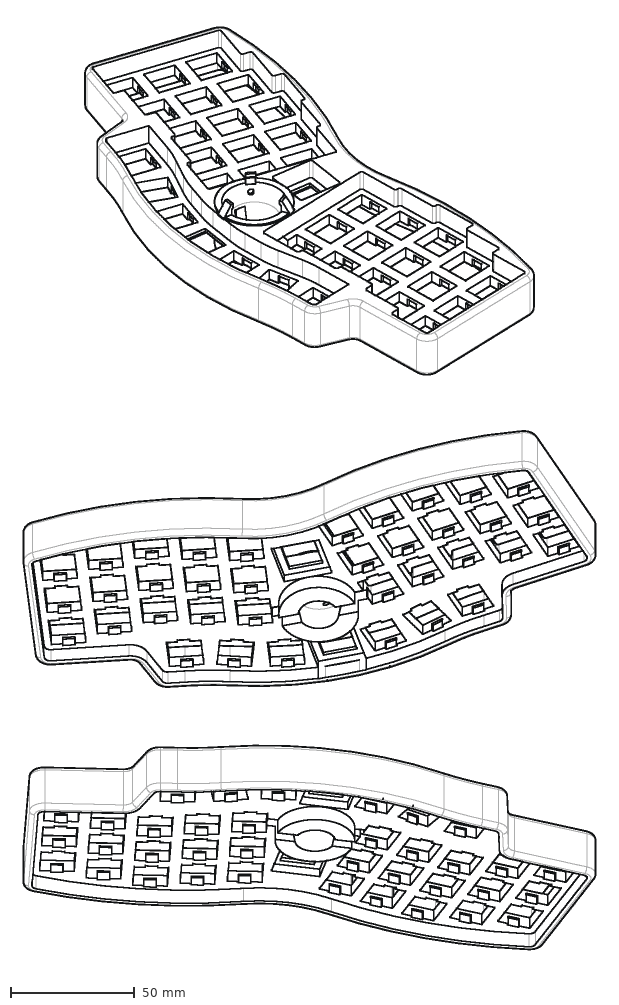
import cadquery as cq
import math

DEPTH = 105.81
TOTAL_HEIGHT = 25.52
BODY_HEIGHT = 19.82
EDGE_ROUND = 2.0
OVERCUT = 1.0

KEY_PITCH = 19.05
SWITCH_HOLE = 14.0
KEY_WELL = 20.0
FINGER_TILT = 10.0
INNER_COLUMN_U = 24.31
INNER_COLUMN_V = 4.0
COLUMN_STAGGER = [0, KEY_PITCH / 8, KEY_PITCH / 4, 0, -KEY_PITCH / 4]
FINGER_ROWS = (-1, 0, 1)
THUMB_MIDDLE_Y = -39.2
THUMB_KEYS = [(20.35, -37.6, 10.0), (40.07, -32.35, 20.0), (59.8, -27.03, 10.0)]
CENTRE_KEY_Y = 13.4
WELL_CORNER_ROUND = 1.0
THUMB_WALL_ROUND = 50.0

PLATE_TOP = 11.2
PLATE_THICKNESS = 5.0
PLATE_BOTTOM = PLATE_TOP - PLATE_THICKNESS
CLIP_LEDGE = 1.5
THIN_PLATE_THICKNESS = 1.5
CLIP_WIDTH = 5.0
CLIP_DEPTH = 1.0

WALL = 3.515
CORNER_ROUND = 6.0
WAIST_ROUND = 4.0
WAIST_TILT = 14.0
THUMB_CORNER = (73.8, -38.55)
THUMB_EDGE_START_X = 63.2
THUMB_EDGE_TILT = 20.0
FRONT_ARC_X = 46.2
BACK_CREST_X = 78.0
BACK_CREST_RADIUS = 180.0
BACK_SADDLE_Y = 39.3

SOCKET_Y = -12.7
COLLAR_RADIUS = 16.1
COLLAR_TOP = 20.5
BOWL_RIM_RADIUS = 13.1
BOWL_RING_RADIUS = 10.3
BOWL_RING_Z = 12.8
FUNNEL_END_RADIUS = 8.1
SENSOR_SLOT_LENGTH = 40.0
SENSOR_SLOT_WIDTH = 5.0
CLAW_ANGLES = (-90, 30, 150)
CLAW_WIDTH = 4.0
CLAW_BASE_RADIUS = 16.9
CLAW_TIP_RADIUS = 13.1
CLAW_INNER_RADIUS = 12.7
CLAW_TOOTH_RADIUS = 12.0
CLAW_TOOTH_START_Z = 23.0
CLAW_TOOTH_FULL_Z = 24.0
BEARING_DIAMETER = 2.4
BEARING_DEPTH = 2.0
BEARING_Z = 16.7


def tilted(u, v, angle=FINGER_TILT):
    """Point (u, v) of a frame turned about the origin, as x and y."""
    a = math.radians(angle)
    return (u * math.cos(a) - v * math.sin(a), u * math.sin(a) + v * math.cos(a))


def both_sides(solid):
    """A right-hand shape together with its mirror image on the left."""
    return solid.union(solid.mirror("YZ"))


def finger_keys():
    """Centres and tilts of the right-hand finger keys, one list per column."""
    columns = []
    for index, stagger in enumerate(COLUMN_STAGGER):
        u = INNER_COLUMN_U + index * KEY_PITCH
        v = INNER_COLUMN_V + stagger
        columns.append([(*tilted(u, v + row * KEY_PITCH), FINGER_TILT) for row in FINGER_ROWS])
    return columns


def block(key, width, length, bottom, top):
    """Upright block centred on a key and turned with it."""
    x, y, tilt = key
    flat = cq.Workplane("XY", origin=(0, 0, bottom)).rect(width, length).extrude(top - bottom)
    return flat.rotate((0, 0, 0), (0, 0, 1), tilt).translate((x, y, 0))


def line_crossing(point_a, angle_a, point_b, angle_b):
    """Crossing of two lines, each given by a point and a direction in degrees."""
    ax, ay = math.cos(math.radians(angle_a)), math.sin(math.radians(angle_a))
    bx, by = math.cos(math.radians(angle_b)), math.sin(math.radians(angle_b))
    dx, dy = point_b[0] - point_a[0], point_b[1] - point_a[1]
    t = (dx * by - dy * bx) / (ax * by - ay * bx)
    return (point_a[0] + t * ax, point_a[1] + t * ay)


last_column = len(COLUMN_STAGGER) - 1
side_u = INNER_COLUMN_U + last_column * KEY_PITCH + KEY_WELL / 2 + WALL
front_v = INNER_COLUMN_V + COLUMN_STAGGER[-1] - KEY_PITCH - KEY_WELL / 2 - WALL
side_front = tilted(side_u, front_v)
waist = line_crossing(side_front, FINGER_TILT, THUMB_CORNER, 90 - WAIST_TILT)
thumb_edge_start = (
    THUMB_EDGE_START_X,
    THUMB_CORNER[1] - (THUMB_CORNER[0] - THUMB_EDGE_START_X) * math.tan(math.radians(FINGER_TILT)),
)
front_arc_end = (
    FRONT_ARC_X,
    -DEPTH / 2 + FRONT_ARC_X * math.tan(math.radians(THUMB_EDGE_TILT / 2)),
)
crest_y = DEPTH / 2
crest_centre_y = crest_y - BACK_CREST_RADIUS
crest_rise = crest_y - BACK_SADDLE_Y
arc_centre_distance = (BACK_CREST_X**2 + crest_rise**2) / (2 * crest_rise)
saddle_radius = arc_centre_distance - BACK_CREST_RADIUS
saddle_share = saddle_radius / arc_centre_distance
saddle_end = (
    BACK_CREST_X * saddle_share,
    BACK_SADDLE_Y + saddle_radius + (crest_centre_y - BACK_SADDLE_Y - saddle_radius) * saddle_share,
)
crest_centre_u, crest_centre_v = tilted(BACK_CREST_X, crest_centre_y, -FINGER_TILT)
side_back_v = crest_centre_v + math.sqrt(BACK_CREST_RADIUS**2 - (side_u - crest_centre_u) ** 2)
side_back = tilted(side_u, side_back_v)


def mirrored(point):
    """The same point on the left half."""
    return (-point[0], point[1])


def outline_prism(height):
    """The case outline, with its rounded upright corners, as a prism on the base plane."""
    prism = (
        cq.Workplane("XY")
        .moveTo(*saddle_end)
        .threePointArc((BACK_CREST_X, crest_y), side_back)
        .lineTo(*side_front)
        .lineTo(*waist)
        .lineTo(*THUMB_CORNER)
        .lineTo(*thumb_edge_start)
        .tangentArcPoint(front_arc_end, relative=False)
        .threePointArc((0, -DEPTH / 2), mirrored(front_arc_end))
        .tangentArcPoint(mirrored(thumb_edge_start), relative=False)
        .lineTo(*mirrored(THUMB_CORNER))
        .lineTo(*mirrored(waist))
        .lineTo(*mirrored(side_front))
        .lineTo(*mirrored(side_back))
        .threePointArc((-BACK_CREST_X, crest_y), mirrored(saddle_end))
        .threePointArc((0, BACK_SADDLE_Y), saddle_end)
        .close()
        .extrude(height)
    )
    for corner, radius in (
        (side_back, CORNER_ROUND),
        (side_front, CORNER_ROUND),
        (waist, WAIST_ROUND),
        (THUMB_CORNER, CORNER_ROUND),
    ):
        for x, y in (corner, mirrored(corner)):
            prism = prism.edges(cq.NearestToPointSelector((x, y, height / 2))).fillet(radius)
    return prism


def inner_prism(height):
    """Prism of the outline moved inwards by the wall thickness."""
    outer_wire = outline_prism(height).faces("<Z").wires().val()
    return cq.Workplane("XY").add(outer_wire.offset2D(-WALL)).toPending().extrude(height)


def case_body():
    return outline_prism(BODY_HEIGHT).faces("<Z or >Z").edges().fillet(EDGE_ROUND)


def underside_cavity():
    """The space below the key plate, inside the outer wall."""
    return inner_prism(PLATE_BOTTOM)


def finger_well():
    """Stepped pocket around all finger keys of the right hand."""
    well = None
    length = KEY_WELL + (len(FINGER_ROWS) - 1) * KEY_PITCH
    for column in finger_keys():
        middle = column[len(column) // 2]
        cell = block(middle, KEY_WELL, length, PLATE_TOP, BODY_HEIGHT + OVERCUT)
        well = cell if well is None else well.union(cell)
    return well.edges("|Z").fillet(WELL_CORNER_ROUND)


def key_corner(key, side, end):
    """Corner of a key's well; side and end are -1 or 1."""
    x, y, tilt = key
    dx, dy = tilted(side * KEY_WELL / 2, end * KEY_WELL / 2, tilt)
    return (x + dx, y + dy)


def key_edge_crossing(key_a, key_b):
    """Crossing of the back edges of two neighbouring key wells."""
    return line_crossing(key_corner(key_a, 1, 1), key_a[2], key_corner(key_b, 1, 1), key_b[2])


def thumb_well():
    """Curved pocket around the row of thumb keys."""
    middle = (0, THUMB_MIDDLE_Y, 0)
    keys = [middle] + THUMB_KEYS
    bends = [key_edge_crossing(a, b) for a, b in zip(keys, keys[1:])]
    back_corner = key_corner(keys[-1], 1, 1)
    front_corner = key_corner(keys[-1], 1, -1)
    beyond_front = (front_corner[0], -DEPTH)
    right = bends + [back_corner, front_corner, beyond_front]
    points = right + [mirrored(p) for p in reversed(right)]
    height = BODY_HEIGHT + OVERCUT - PLATE_TOP
    well = cq.Workplane("XY", origin=(0, 0, PLATE_TOP)).polyline(points).close().extrude(height)
    for x, y in bends + [mirrored(p) for p in bends]:
        edge = cq.NearestToPointSelector((x, y, PLATE_TOP + height / 2))
        well = well.edges(edge).fillet(THUMB_WALL_ROUND)
    return well.intersect(inner_prism(BODY_HEIGHT + OVERCUT))


def centre_well():
    well = block((0, CENTRE_KEY_Y, 0), KEY_WELL, KEY_WELL, PLATE_TOP, BODY_HEIGHT + OVERCUT)
    return well.edges("|Z").fillet(WELL_CORNER_ROUND)


def thin_plate_relief(key):
    """Hollow under a key that leaves a thin plate around its opening."""
    top = PLATE_TOP - THIN_PLATE_THICKNESS
    return block(key, KEY_WELL, KEY_WELL, -OVERCUT, top).cut(socket_body())


def switch_hole(key):
    """Square switch opening with a clip recess under the front and back edges."""
    opening = block(key, SWITCH_HOLE, SWITCH_HOLE, -OVERCUT, PLATE_TOP + OVERCUT)
    recess_length = SWITCH_HOLE + 2 * CLIP_DEPTH
    return opening.union(block(key, CLIP_WIDTH, recess_length, -OVERCUT, PLATE_TOP - CLIP_LEDGE))


def socket_body():
    """Round housing of the trackball with its raised collar."""
    return cq.Workplane("XY").circle(COLLAR_RADIUS).extrude(COLLAR_TOP).translate((0, SOCKET_Y, 0))


def claw(angle):
    """Wedge that stands on the collar and reaches over the ball."""
    profile = [
        (CLAW_INNER_RADIUS, BODY_HEIGHT),
        (CLAW_BASE_RADIUS, BODY_HEIGHT),
        (CLAW_TIP_RADIUS, TOTAL_HEIGHT),
        (CLAW_TOOTH_RADIUS, TOTAL_HEIGHT),
        (CLAW_TOOTH_RADIUS, CLAW_TOOTH_FULL_Z),
        (CLAW_INNER_RADIUS, CLAW_TOOTH_START_Z),
    ]
    wedge = cq.Workplane("XZ").polyline(profile).close().extrude(CLAW_WIDTH / 2, both=True)
    return wedge.rotate((0, 0, 0), (0, 0, 1), angle).translate((0, SOCKET_Y, 0))


def ball_space():
    """The tapered bowl for the ball and the narrower funnel below it."""
    half_profile = [
        (0, 0),
        (FUNNEL_END_RADIUS, 0),
        (BOWL_RING_RADIUS, BOWL_RING_Z),
        (BOWL_RIM_RADIUS, COLLAR_TOP),
        (0, COLLAR_TOP),
    ]
    bowl = cq.Workplane("XZ").polyline(half_profile).close().revolve(360, (0, 0, 0), (0, 1, 0))
    return bowl.translate((0, SOCKET_Y, 0))


def bearing_hole(angle):
    """Blind round hole that points at the middle of the bowl rim."""
    taper = (BOWL_RIM_RADIUS - BOWL_RING_RADIUS) / (COLLAR_TOP - BOWL_RING_Z)
    drop = COLLAR_TOP - BEARING_Z
    bowl_radius = BOWL_RIM_RADIUS - drop * taper
    elevation = math.degrees(math.atan2(drop, bowl_radius))
    mouth_distance = math.hypot(bowl_radius, drop)
    return (
        cq.Workplane("YZ", origin=(mouth_distance - OVERCUT, 0, 0))
        .circle(BEARING_DIAMETER / 2)
        .extrude(BEARING_DEPTH + OVERCUT)
        .rotate((0, 0, 0), (0, 1, 0), elevation)
        .rotate((0, 0, 0), (0, 0, 1), angle)
        .translate((0, SOCKET_Y, COLLAR_TOP))
    )


result = case_body().cut(underside_cavity()).union(socket_body())
result = result.cut(both_sides(finger_well())).cut(thumb_well()).cut(centre_well())

right_keys = [key for column in finger_keys() for key in column] + THUMB_KEYS
for key in right_keys:
    result = result.cut(switch_hole(key)).cut(switch_hole(key).mirror("YZ"))
for key_y in (CENTRE_KEY_Y, THUMB_MIDDLE_Y):
    centre_line_key = (0, key_y, 0)
    result = result.cut(switch_hole(centre_line_key)).cut(thin_plate_relief(centre_line_key))

result = result.cut(ball_space())
for claw_angle in CLAW_ANGLES:
    result = result.union(claw(claw_angle))
for claw_angle in CLAW_ANGLES:
    result = result.cut(bearing_hole(claw_angle))
result = result.cut(block((0, SOCKET_Y, 0), SENSOR_SLOT_LENGTH, SENSOR_SLOT_WIDTH, -OVERCUT, PLATE_TOP))